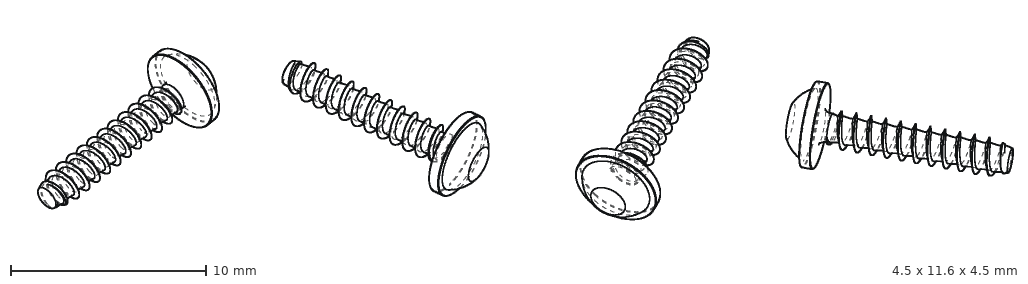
import cadquery as cq
import math

total_length = 11.6
flange_diameter = 4.5
flange_thickness = 0.6
flange_edge_chamfer = 0.03
dome_height = 1.0
dome_base_radius = 1.89
dome_top_radius = 0.96

neck_radius = 0.77
neck_fillet = 0.35
neck_length = 0.51
neck_taper_length = 0.29
head_overlap = 0.12

core_radius = 0.67
crest_radius = 1.0
ten_turn_lead = 7.8
crest_flat = 0.02
knee_radius = 0.8
knee_offset = 0.07
head_flank_offset = 0.14
shoulder_radius = 0.73
shoulder_offset = 0.09
shoulder_end = 0.48
ridge_embedding = 0.02
crest_depth_at_plus_x = 1.62
run_in_radius = 0.84
run_in_end = 1.16
run_out_length = 1.02

tip_radius = 0.64
dimple_depth = 0.06

head_height = flange_thickness + dome_height
shank_length = total_length - head_height
flange_radius = flange_diameter / 2
pitch = ten_turn_lead / 10
run_out_slope = (crest_radius - tip_radius) / run_out_length
tip_taper_length = (core_radius - tip_radius) / run_out_slope


def revolve_about_axis(outline):
    """Revolve a closed half outline, drawn as (radius, Y), about the Y axis."""
    return outline.close().revolve(360, (0, 0, 0), (0, 1, 0))


def dome_mid_point():
    """Point half way along the dome arc, whose centre lies on the screw axis."""
    centre = (dome_top_radius**2 + dome_height**2 - dome_base_radius**2) / (2 * dome_height)
    radius = math.hypot(dome_base_radius, centre)
    base_angle = math.atan2(-centre, dome_base_radius)
    top_angle = math.atan2(dome_height - centre, dome_top_radius)
    middle = (base_angle + top_angle) / 2
    return radius * math.cos(middle), flange_thickness + centre + radius * math.sin(middle)


def make_head():
    """Washer flange with broken edges, carrying a flat-topped dome."""
    outline = (
        cq.Workplane("XY")
        .lineTo(flange_radius - flange_edge_chamfer, 0)
        .lineTo(flange_radius, flange_edge_chamfer)
        .lineTo(flange_radius, flange_thickness - flange_edge_chamfer)
        .lineTo(flange_radius - flange_edge_chamfer, flange_thickness)
        .lineTo(dome_base_radius, flange_thickness)
        .threePointArc(dome_mid_point(), (dome_top_radius, head_height))
        .lineTo(0, head_height)
    )
    return revolve_about_axis(outline)


def dimple_mid_point():
    """Point half way along the shallow spherical dimple in the tip."""
    sphere_radius = (tip_radius**2 + dimple_depth**2) / (2 * dimple_depth)
    half_angle = math.asin(tip_radius / sphere_radius) / 2
    height = dimple_depth - sphere_radius * (1 - math.cos(half_angle))
    return sphere_radius * math.sin(half_angle), -shank_length + height


def make_core():
    """Filleted neck, taper down to the thread core, core cylinder and dimpled tip.

    The outline starts slightly inside the flange so that the two bodies overlap.
    """
    arc_offset = neck_fillet * (1 - math.sqrt(0.5))
    outline = (
        cq.Workplane("XY")
        .moveTo(0, head_overlap)
        .lineTo(neck_radius + neck_fillet, head_overlap)
        .lineTo(neck_radius + neck_fillet, 0)
        .threePointArc((neck_radius + arc_offset, -arc_offset), (neck_radius, -neck_fillet))
        .lineTo(neck_radius, -neck_length)
        .lineTo(core_radius, -neck_length - neck_taper_length)
        .lineTo(core_radius, -shank_length + tip_taper_length)
        .lineTo(tip_radius, -shank_length)
        .threePointArc(dimple_mid_point(), (0, -shank_length + dimple_depth))
    )
    return revolve_about_axis(outline)


def make_thread_envelope():
    """Body of revolution that limits the thread: it grows at the neck and fades at the tip."""
    outline = (
        cq.Workplane("XY")
        .moveTo(0, -neck_length)
        .lineTo(run_in_radius, -neck_length)
        .lineTo(crest_radius, -run_in_end)
        .lineTo(crest_radius, -shank_length + run_out_length)
        .lineTo(tip_radius, -shank_length)
        .lineTo(0, -shank_length)
    )
    return revolve_about_axis(outline)


def make_end_face(profile, height):
    """Flat face closing the ridge at a whole number of turns."""
    corners = [cq.Vector(radius, 0, height + offset) for radius, offset in profile]
    return cq.Face.makeFromWires(cq.Wire.makePolygon(corners, close=True))


def make_ridge():
    """Helical ridge running past both ends of the thread, about the Y axis."""
    turns = math.ceil(shank_length / pitch) + 1
    root_radius = core_radius - ridge_embedding
    profile = [
        (root_radius, head_flank_offset),
        (core_radius, head_flank_offset),
        (knee_radius, knee_offset),
        (crest_radius, crest_flat / 2),
        (crest_radius, -crest_flat / 2),
        (shoulder_radius, -shoulder_offset),
        (core_radius, -shoulder_end),
        (root_radius, -shoulder_end),
    ]
    helices = [
        cq.Wire.makeHelix(pitch, pitch * turns, radius).translate(cq.Vector(0, 0, offset))
        for radius, offset in profile
    ]
    faces = [make_end_face(profile, 0), make_end_face(profile, pitch * turns)]
    for i in range(len(profile)):
        flank = cq.Face.makeRuledSurface(helices[i - 1], helices[i])
        faces.extend(flank.Faces())
    ridge = cq.Workplane(cq.Solid.makeSolid(cq.Shell.makeShell(faces)))
    start = -crest_depth_at_plus_x - pitch * (turns - 2)
    return ridge.rotate((0, 0, 0), (1, 0, 0), -90).translate((0, start, 0))


thread = make_ridge().intersect(make_thread_envelope())
result = make_head().union(make_core()).union(thread)